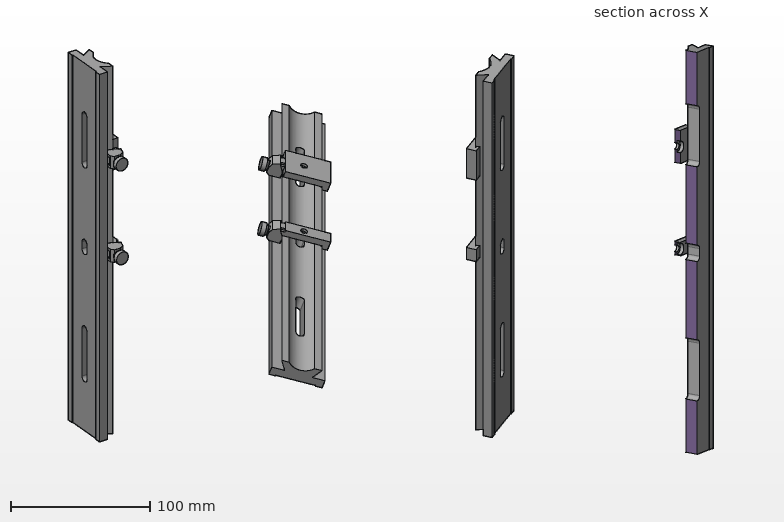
import cadquery as cq
import math


RAIL_LENGTH = 300.0
RAIL_WIDTH = 40.2
BASE_THICKNESS = 7.0
RAIL_DEPTH = 15.0
NECK_WIDTH = 21.0
DOVETAIL_ANGLE = 60.0
RECESS_DEPTH = 0.5
SIDE_STRIP = 5.0
TROUGH_DEPTH = 4.5
TROUGH_HALF_WIDTH = 9.5
SLOT_WIDTH = 6.3
LONG_SLOT = 45.3
SHORT_SLOT = 12.0
LONG_SLOT_OFFSET = 87.3

BACK_Y = 20.0
HOOK_Y = 12.3
CLAMP_END_X = 14.0
LONG_CLAMP_HEIGHT = 25.0
SHORT_CLAMP_HEIGHT = 10.2
HOLE_DIAMETER = 4.8
COUNTERBORE_DIAMETER = 8.5
COUNTERBORE_DEPTH = 3.0
LONG_CLAMP_Z = 77.0
SHORT_CLAMP_Z = 1.0

JAW_HEIGHT = SHORT_CLAMP_HEIGHT
JAW_FRONT_Y = 7.8
JAW_END_X = 25.0
JAW_CHAMFER = 2.0
JAW_LIP_X = 18.0
JAW_LIP_THICKNESS = 1.5
JAW_LIP_HEIGHT = 6.0
JAW_SHOULDER_X = 23.0
JAW_SHOULDER_Y = 18.3
JAW_SIDE_TOP_Y = 14.7
POCKET_END_X = 21.3
POCKET_HEIGHT = 6.3
POCKET_DEPTH = 1.0

SCREW_Y = 12.5
SHANK_DIAMETER = 7.0
SHANK_LENGTH = 4.5
HEAD_DIAMETER = 10.2
CONE_LENGTH = 1.8
HEAD_LENGTH = 3.5
SHORT_CLAMP_SCREW_GAP = 0.5
LONG_CLAMP_SCREW_GAP = 0.0

SLOPE = math.tan(math.radians(DOVETAIL_ANGLE))


def flank_x(y):
    """X of the right dovetail flank at y; the same plane also forms the clamp tongue and jaw."""
    return NECK_WIDTH / 2 + (y - BASE_THICKNESS) / SLOPE


def prism(outline, height):
    """Extrude a closed XY outline by height, centred on Z = 0."""
    return outline.close().extrude(height / 2, both=True)


def corner_box(start_x, end_x, start_y, depth, height):
    """Box from start_x to end_x, reaching depth back from start_y and centred on Z = 0."""
    box = cq.Workplane("XY").box(end_x - start_x, depth, height, centered=(False, False, True))
    return box.translate((start_x, start_y, 0))


def make_rail():
    """Dovetail bar with a recessed front, a rounded trough along its back and three slots."""
    half = RAIL_WIDTH / 2
    recess_half = half - SIDE_STRIP
    outline = (
        cq.Workplane("XY")
        .moveTo(-half, 0)
        .lineTo(-recess_half, 0)
        .lineTo(-recess_half, RECESS_DEPTH)
        .lineTo(recess_half, RECESS_DEPTH)
        .lineTo(recess_half, 0)
        .lineTo(half, 0)
        .lineTo(half, BASE_THICKNESS)
        .lineTo(flank_x(BASE_THICKNESS), BASE_THICKNESS)
        .lineTo(flank_x(RAIL_DEPTH), RAIL_DEPTH)
        .lineTo(TROUGH_HALF_WIDTH, RAIL_DEPTH)
        .threePointArc((0, RAIL_DEPTH - TROUGH_DEPTH), (-TROUGH_HALF_WIDTH, RAIL_DEPTH))
        .lineTo(-flank_x(RAIL_DEPTH), RAIL_DEPTH)
        .lineTo(-flank_x(BASE_THICKNESS), BASE_THICKNESS)
        .lineTo(-half, BASE_THICKNESS)
    )
    rail = prism(outline, RAIL_LENGTH)
    slots = [(LONG_SLOT_OFFSET, LONG_SLOT), (0, SHORT_SLOT), (-LONG_SLOT_OFFSET, LONG_SLOT)]
    for z, length in slots:
        slot = cq.Workplane("XZ").center(0, z).slot2D(length, SLOT_WIDTH, 90).extrude(-RAIL_DEPTH)
        rail = rail.cut(slot)
    return rail


def make_clamp(height):
    """Hooked plate with a tongue as high as the jaw, centred on Z = 0."""
    left = -RAIL_WIDTH / 2
    lip_y = BACK_Y - JAW_LIP_THICKNESS
    plate = prism(
        cq.Workplane("XY")
        .moveTo(left, HOOK_Y)
        .lineTo(-flank_x(HOOK_Y), HOOK_Y)
        .lineTo(-flank_x(RAIL_DEPTH), RAIL_DEPTH)
        .lineTo(CLAMP_END_X, RAIL_DEPTH)
        .lineTo(CLAMP_END_X, BACK_Y)
        .lineTo(left, BACK_Y),
        height,
    )
    tongue = prism(
        cq.Workplane("XY")
        .moveTo(CLAMP_END_X, RAIL_DEPTH)
        .lineTo(flank_x(RAIL_DEPTH), RAIL_DEPTH)
        .lineTo(flank_x(lip_y), lip_y)
        .lineTo(CLAMP_END_X, lip_y),
        JAW_HEIGHT,
    )
    hole = cq.Workplane("XZ").circle(HOLE_DIAMETER / 2).extrude(-BACK_Y)
    counterbore = (
        cq.Workplane("XZ").circle(COUNTERBORE_DIAMETER / 2).extrude(-RAIL_DEPTH - COUNTERBORE_DEPTH)
    )
    return plate.union(tongue).cut(hole).cut(counterbore)


def make_screw(gap):
    """Thumb screw whose cone starts at the given gap from the jaw, centred on Z = 0."""
    cone_x = JAW_END_X + gap
    head_x = cone_x + CONE_LENGTH
    end_x = head_x + HEAD_LENGTH
    profile = (
        cq.Workplane("XY")
        .moveTo(JAW_END_X - SHANK_LENGTH, 0)
        .lineTo(JAW_END_X - SHANK_LENGTH, SHANK_DIAMETER / 2)
        .lineTo(cone_x, SHANK_DIAMETER / 2)
        .lineTo(head_x, HEAD_DIAMETER / 2)
        .lineTo(end_x, HEAD_DIAMETER / 2)
        .lineTo(end_x, 0)
        .close()
    )
    return profile.revolve(360, (0, 0, 0), (1, 0, 0)).translate((0, SCREW_Y, 0))


def make_jaw():
    """Block that bears on the dovetail flank, with a thin lip over the clamp's tongue."""
    lip_y = BACK_Y - JAW_LIP_THICKNESS
    foot_y = BASE_THICKNESS + (CLAMP_END_X - NECK_WIDTH / 2) * SLOPE
    jaw = prism(
        cq.Workplane("XY")
        .moveTo(CLAMP_END_X, JAW_FRONT_Y)
        .lineTo(JAW_END_X - JAW_CHAMFER, JAW_FRONT_Y)
        .lineTo(JAW_END_X, JAW_FRONT_Y + JAW_CHAMFER)
        .lineTo(JAW_END_X, JAW_SIDE_TOP_Y)
        .lineTo(JAW_SHOULDER_X, JAW_SHOULDER_Y)
        .lineTo(JAW_LIP_X, BACK_Y)
        .lineTo(flank_x(lip_y), BACK_Y)
        .lineTo(flank_x(lip_y), lip_y)
        .lineTo(CLAMP_END_X, foot_y),
        JAW_HEIGHT,
    )
    lip = corner_box(CLAMP_END_X, flank_x(lip_y), lip_y, JAW_LIP_THICKNESS, JAW_LIP_HEIGHT)
    pocket = corner_box(CLAMP_END_X, POCKET_END_X, JAW_FRONT_Y, POCKET_DEPTH, POCKET_HEIGHT)
    bore = (
        cq.Workplane("YZ", origin=(JAW_END_X, SCREW_Y, 0))
        .circle(SHANK_DIAMETER / 2)
        .extrude(-SHANK_LENGTH)
    )
    return jaw.union(lip).cut(pocket).cut(bore)


rail = make_rail()
clamps = []
jaws = []
screws = []
clamp_sets = [
    (LONG_CLAMP_Z, LONG_CLAMP_HEIGHT, LONG_CLAMP_SCREW_GAP),
    (SHORT_CLAMP_Z, SHORT_CLAMP_HEIGHT, SHORT_CLAMP_SCREW_GAP),
]
for z, height, screw_gap in clamp_sets:
    lift = (0, 0, z)
    clamps.append(make_clamp(height).translate(lift).val())
    jaws.append(make_jaw().translate(lift).val())
    screws.append(make_screw(screw_gap).translate(lift).val())

result = cq.Compound.makeCompound([rail.val(), *clamps, *jaws, *screws])